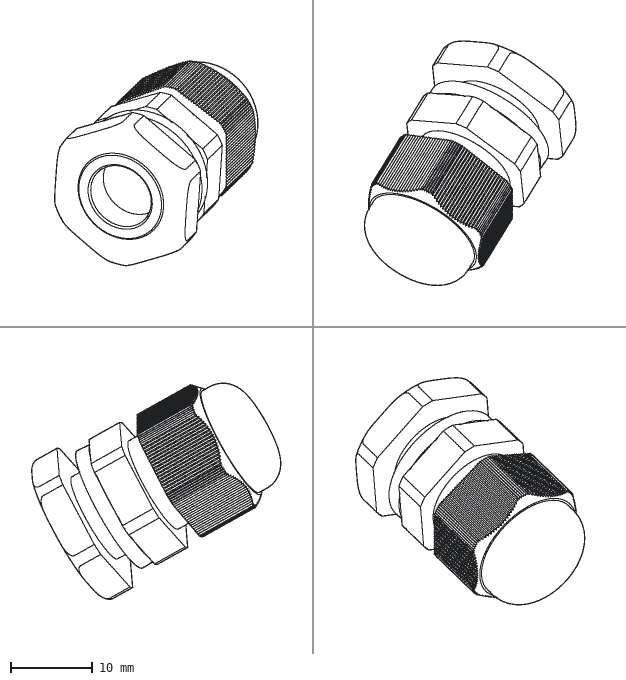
import cadquery as cq
import math


LOCKNUT_START = 0.2
LOCKNUT_END = 3.95
SEAL_START = 6.12
SEAL_END = 8.0
BODY_HEX_END = 12.4
CAP_START = 14.7
CAP_SHOULDER = 23.5
TOTAL_LENGTH = 27.74

THREAD_DIA = 11.6
THREAD_CHAMFER = 0.2
NECK_DIA = 12.5
SEAL_OUTER_DIA = 16.6
SEAL_BODY_DIA = 16.4
DOME_DIA = 14.4
DOME_ROUNDING = 3.2

HEX_SIDES = 6
SIDE_ANGLE = math.radians(360 / HEX_SIDES)
HEX_TURN = 3.75
LOCKNUT_FLATS = 17.7
LOCKNUT_CORNER_DIA = 19.6
LOCKNUT_ROUNDING = 0.95
BODY_FLATS = 15.93
BODY_CORNER_DIA = 17.6

CAP_FLATS = 15.66
CAP_CORNER_DIA = 17.25
CAP_CHAMFER = 1.25
FLAT_TEETH = 18
CORNER_TEETH = 5
TOOTH_DEPTH = 0.2
CAP_CLEARANCE = 0.2

BORE_DIA = 8.2
BORE_DEPTH = 4.0
BORE_CHAMFER = 0.25


def plane_at(y):
    """Section plane facing +Y, with local x along -X and local y along +Z."""
    return cq.Plane(origin=(0, y, 0), xDir=(-1, 0, 0), normal=(0, 1, 0))


def cylinder(diameter, start, end):
    return cq.Workplane(plane_at(start)).circle(diameter / 2).extrude(end - start)


def cone(start_dia, end_dia, start, end):
    origin = cq.Vector(0, start, 0)
    axis = cq.Vector(0, 1, 0)
    return cq.Workplane(cq.Solid.makeCone(start_dia / 2, end_dia / 2, end - start, origin, axis))


def hexagon(flats, corner_dia, start, end):
    """Hexagonal prism, and the cylinder that its corners are turned down to."""
    corner_to_corner = flats / math.cos(SIDE_ANGLE / 2)
    prism = cq.Workplane(plane_at(start)).polygon(HEX_SIDES, corner_to_corner).extrude(end - start)
    prism = prism.rotate((0, 0, 0), (0, 1, 0), 90 + HEX_TURN)
    return prism, cylinder(corner_dia, start, end)


def make_locknut():
    prism, turned = hexagon(LOCKNUT_FLATS, LOCKNUT_CORNER_DIA, LOCKNUT_START, LOCKNUT_END)
    return prism.intersect(turned.faces("<Y").edges().fillet(LOCKNUT_ROUNDING))


def make_body_hexagon():
    prism, turned = hexagon(BODY_FLATS, BODY_CORNER_DIA, SEAL_END, BODY_HEX_END)
    return prism.intersect(turned)


def knurl_points():
    """Tips and valleys of the teeth around the cap: even along each flat, then around each corner."""
    apothem = CAP_FLATS / 2
    corner_radius = CAP_CORNER_DIA / 2
    flat_edge_angle = math.acos(apothem / corner_radius)
    half_flat = apothem * math.tan(flat_edge_angle)
    corner_sweep = SIDE_ANGLE - 2 * flat_edge_angle

    def flat_point(position, inset):
        along = half_flat * (2 * position / FLAT_TEETH - 1)
        return math.hypot(apothem - inset, along), math.atan2(along, apothem - inset)

    def corner_point(position, inset):
        return corner_radius - inset, flat_edge_angle + corner_sweep * position / CORNER_TEETH

    points = []
    for side in range(HEX_SIDES):
        turn = SIDE_ANGLE * side
        for point_at, teeth in ((flat_point, FLAT_TEETH), (corner_point, CORNER_TEETH)):
            for tooth in range(teeth):
                for position, inset in ((tooth, 0), (tooth + 0.5, TOOTH_DEPTH)):
                    radius, angle = point_at(position, inset)
                    angle += turn
                    points.append((radius * math.cos(angle), radius * math.sin(angle)))
    return points


def make_cap_nut():
    length = CAP_SHOULDER - CAP_START
    knurled = cq.Workplane(plane_at(CAP_START)).polyline(knurl_points()).close().extrude(length)
    envelope = cylinder(CAP_CORNER_DIA + CAP_CLEARANCE, CAP_START, CAP_SHOULDER)
    return knurled.intersect(envelope.faces(">Y").edges().chamfer(CAP_CHAMFER))


def make_dome():
    dome = cylinder(DOME_DIA, CAP_SHOULDER, TOTAL_LENGTH)
    return dome.faces(">Y").edges().fillet(DOME_ROUNDING)


def make_thread_sleeve():
    sleeve = cylinder(THREAD_DIA, 0, SEAL_START)
    return sleeve.faces("<Y").edges().chamfer(THREAD_CHAMFER)


def make_bore():
    bore = cylinder(BORE_DIA, 0, BORE_DEPTH)
    mouth = cone(BORE_DIA + 2 * BORE_CHAMFER, BORE_DIA, 0, BORE_CHAMFER)
    return bore.union(mouth)


result = (
    make_thread_sleeve()
    .union(make_locknut())
    .union(cone(SEAL_OUTER_DIA, SEAL_BODY_DIA, SEAL_START, SEAL_END))
    .union(make_body_hexagon())
    .union(cylinder(NECK_DIA, BODY_HEX_END, CAP_START))
    .union(make_cap_nut())
    .union(make_dome())
    .cut(make_bore())
)